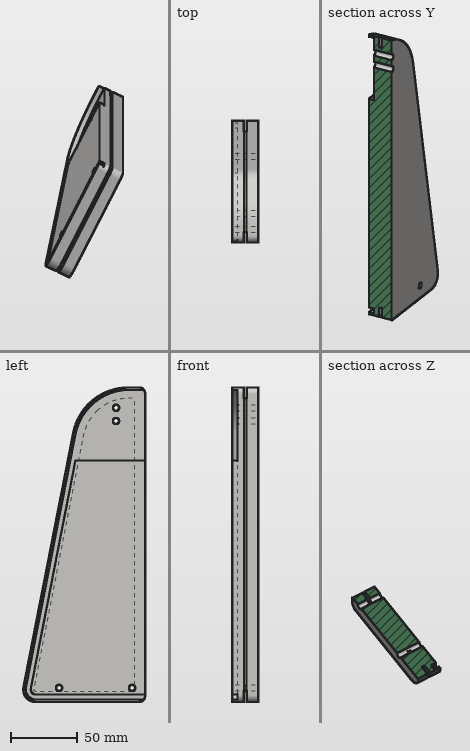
import cadquery as cq
import math

thickness = 20.0
width = 92.0
height = 237.4

groove_width = 2.0
plate_thickness = (thickness - groove_width) / 2
core_inset = 8.0

crown_radius = 43.0
crown_flat = 12.3
heel_radius = 9.5
edge_corner_radius = 5.0

recess_depth = 4.3
rim_width = 2.0
panel_inset = 5.7
panel_top = height / 2 - 55.3

hole_diameter = 4.5
top_hole_offset = 22.0
top_hole_drops = (15.5, 25.5)
bottom_hole_offsets = (10.0, 65.0)
bottom_hole_rise = 10.7

left_face = -thickness / 2
straight_edge = -width / 2
bottom = -height / 2
top = height / 2

crown_center = (straight_edge + crown_flat, top - crown_radius)
heel_center = (width / 2 - heel_radius, bottom + heel_radius)

center_dy = heel_center[0] - crown_center[0]
center_dz = crown_center[1] - heel_center[1]
center_distance = math.hypot(center_dy, center_dz)
slant_angle = math.atan2(center_dy, center_dz) - math.asin((crown_radius - heel_radius) / center_distance)


def point_on_arc(center, radius, angle):
    return (center[0] + radius * math.cos(angle), center[1] + radius * math.sin(angle))


def outline_slab(inset, edge, start_x, length):
    """Extrude the outline along +X, inset on its curved sides and ending at y = edge."""
    crown = crown_radius - inset
    heel = heel_radius - inset
    crown_middle = (math.pi / 2 + slant_angle) / 2
    heel_middle = (slant_angle - math.pi / 2) / 2
    return (
        cq.Workplane("YZ", origin=(start_x, 0, 0))
        .moveTo(edge, top - inset)
        .lineTo(crown_center[0], top - inset)
        .threePointArc(
            point_on_arc(crown_center, crown, crown_middle),
            point_on_arc(crown_center, crown, slant_angle),
        )
        .lineTo(*point_on_arc(heel_center, heel, slant_angle))
        .threePointArc(
            point_on_arc(heel_center, heel, heel_middle),
            (heel_center[0], bottom + inset),
        )
        .lineTo(edge, bottom + inset)
        .close()
        .extrude(length)
    )


def plate(start_x):
    slab = outline_slab(0, straight_edge, start_x, plate_thickness)
    return slab.edges("|X and <Y").fillet(edge_corner_radius)


def recess():
    """Material removed around the panel; the recess is open at the straight edge."""
    pocket = outline_slab(rim_width, straight_edge, left_face, recess_depth)
    panel = outline_slab(panel_inset, straight_edge, left_face, recess_depth)
    above_panel = cq.Workplane("XY", origin=(0, 0, panel_top)).box(
        thickness, width, top - panel_top, centered=(True, True, False)
    )
    return pocket.cut(panel.cut(above_panel))


def holes():
    centers = [(straight_edge + top_hole_offset, top - drop) for drop in top_hole_drops]
    centers += [(straight_edge + offset, bottom + bottom_hole_rise) for offset in bottom_hole_offsets]
    return (
        cq.Workplane("YZ", origin=(left_face, 0, 0))
        .pushPoints(centers)
        .circle(hole_diameter / 2)
        .extrude(thickness)
    )


left_plate = plate(left_face)
right_plate = plate(thickness / 2 - plate_thickness)
core = outline_slab(core_inset, straight_edge + core_inset, -groove_width / 2, groove_width)

result = left_plate.union(core).union(right_plate).cut(recess()).cut(holes())